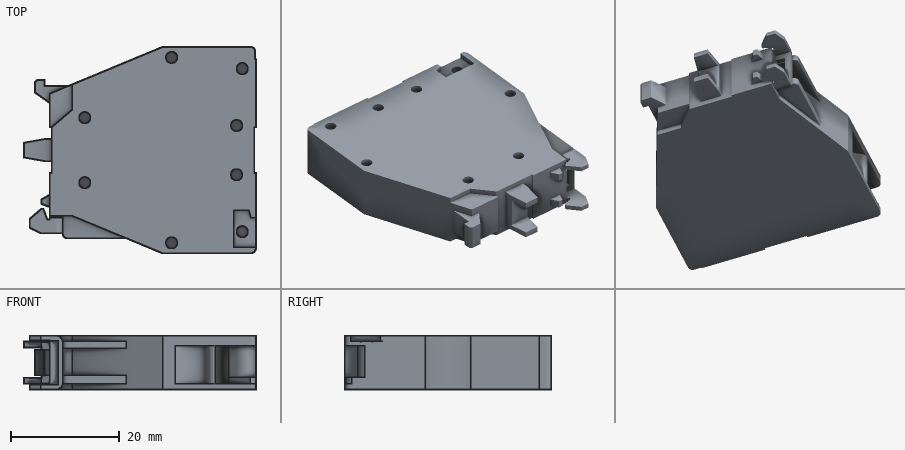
import cadquery as cq

thick = 9.9
skin = 1.05
back_x = 42.7
front_x = 4.75
half_width = 19.0
shoulder_x = 25.55
front_half_width = 12.1
flank_foot_x = 8.9
flank_slope = (half_width - front_half_width) / (shoulder_x - flank_foot_x)
front_left_y = front_half_width - flank_slope * (flank_foot_x - front_x)
right_corner_radius = 1.05
left_corner_radius = 0.9
left_inset = 0.15
left_inset_y = 16.75
relief_depth = 0.35
relief_half_width = 4.2
mid_z = thick / 2

hole_diameter = 2.1
hole_depth = 3.0
hole_places = [(27.15, 17.05), (40.15, 15.0), (11.2, 5.98), (39.1, 4.53)]

tongue_tip_half = 1.35
tongue_root_half = 2.05
tongue_outer_z = 8.85
tongue_inner_z = 7.7
tongue_edge_z = 7.85
web_front_x = 3.55
web_bevel_x = 3.85
web_bevel = 0.2

hook_bottom_z = 2.6
hook_top_z = 7.3

tooth_bottom_z, tooth_top_z = 1.2, 2.6
lower_rib_z = (skin, 2.6)
upper_rib_z = (7.55, 8.85)
rib_front_x = 7.15
rib_side_y = -16.23
rib_radius = 0.9

clip_skin = 0.9
clip_inner_y = -12.4
clip_outer_y = -15.3
clip_back_wall = 0.8
clip_bend_radius = 1.2
clip_window_y = -14.15
clip_window_z = (2.18, 7.8)

cavity_z = (skin, 8.03)
cavity_side_y = -half_width
tab_top_z = 2.3
boss_center = (40.65, -14.25)
boss_radius = 2.3

pocket_depth = 1.05


def prism(points, bottom, top):
    """Closed polygon in XY raised from bottom to top."""
    return cq.Workplane("XY").workplane(offset=bottom).polyline(points).close().extrude(top - bottom)


def box(x0, x1, y0, y1, z0, z1):
    """Block given by its limits along each axis."""
    return cq.Workplane("XY").box(x1 - x0, y1 - y0, z1 - z0, centered=False).translate((x0, y0, z0))


def with_mirror(solid):
    """Add the copy reflected about the mid-height plane."""
    return solid.union(solid.mirror("XY", (0, 0, mid_z)))


def housing():
    left_corner_x = back_x - left_inset
    body = prism(
        [
            (front_x, -front_half_width),
            (flank_foot_x, -front_half_width),
            (shoulder_x, -half_width),
            (back_x, -half_width),
            (back_x, left_inset_y),
            (left_corner_x, left_inset_y),
            (left_corner_x, half_width),
            (shoulder_x, half_width),
            (front_x, front_left_y),
        ],
        0,
        thick,
    )
    rear_corners = [
        (back_x, -half_width, right_corner_radius),
        (left_corner_x, half_width, left_corner_radius),
    ]
    for x, y, radius in rear_corners:
        picker = cq.selectors.NearestToPointSelector((x, y, mid_z))
        body = body.edges(picker).fillet(radius)
    for x in (front_x, back_x):
        relief = box(x - relief_depth, x + relief_depth, -relief_half_width, relief_half_width, 0, thick)
        body = body.cut(relief)
    return body


def corner_step():
    """Material removed from both skins at the front left corner."""
    step_x = flank_foot_x
    bend_y = 7.45
    return with_mirror(
        prism(
            [
                (front_x, relief_half_width),
                (front_x + relief_depth, relief_half_width),
                (step_x, bend_y),
                (step_x, half_width),
                (front_x, half_width),
            ],
            thick - skin,
            thick,
        )
    )


def rivet_holes():
    """Blind holes sunk from the top face."""
    places = [(x, side * y) for x, y in hole_places for side in (1, -1)]
    top = cq.Workplane("XY").workplane(offset=thick - hole_depth)
    return top.pushPoints(places).circle(hole_diameter / 2).extrude(hole_depth)


def tongues():
    """Two tapered tongues with dished inner faces, joined by a bevelled web."""
    root_x = front_x + relief_depth
    plan = [
        (0, tongue_tip_half),
        (web_bevel_x, tongue_root_half),
        (root_x, tongue_root_half),
        (root_x, -tongue_root_half),
        (web_bevel_x, -tongue_root_half),
        (0, -tongue_tip_half),
    ]
    bar = (
        cq.Workplane("YZ")
        .moveTo(-tongue_root_half, tongue_outer_z)
        .lineTo(-tongue_root_half, tongue_edge_z)
        .threePointArc((0, tongue_inner_z), (tongue_root_half, tongue_edge_z))
        .lineTo(tongue_root_half, tongue_outer_z)
        .close()
        .extrude(root_x)
    )
    pair = with_mirror(prism(plan, 0, thick).intersect(bar))
    web_front_half = tongue_root_half - web_bevel
    web = prism(
        [
            (root_x, tongue_root_half),
            (web_bevel_x, tongue_root_half),
            (web_front_x, web_front_half),
            (web_front_x, -web_front_half),
            (web_bevel_x, -tongue_root_half),
            (root_x, -tongue_root_half),
        ],
        thick - tongue_edge_z,
        tongue_edge_z,
    )
    return pair.union(web)


def fixed_hook():
    """Barbed block facing +Y whose shank is buried in the housing."""
    tip_x = 2.0
    barb_x = 3.8
    barb_y = 12.9
    tip_bevel = 0.43
    shank_y = 11.83
    root_y = 8.65
    shank_end_x = 8.45
    return prism(
        [
            (front_x, root_y),
            (tip_x, 10.6),
            (tip_x, barb_y - tip_bevel),
            (tip_x + tip_bevel, barb_y),
            (barb_x, barb_y),
            (barb_x, shank_y),
            (shank_end_x, shank_y),
            (shank_end_x, root_y),
        ],
        hook_bottom_z,
        hook_top_z,
    )


def teeth():
    """Two small wedge teeth on the front face, one above the other."""
    tip_x = 3.2
    outline = [(front_x, -8.2), (tip_x, -9.1), (tip_x, -9.9), (front_x, -10.45)]
    return with_mirror(prism(outline, tooth_bottom_z, tooth_top_z))


def guide_rib(bottom, top):
    """Triangular rib filling the angle between the clip and the right flank."""
    rib_end_x = flank_foot_x + (-rib_side_y - front_half_width) / flank_slope
    rib = prism(
        [
            (rib_front_x, -front_half_width),
            (rib_front_x, rib_side_y),
            (rib_end_x, rib_side_y),
            (flank_foot_x, -front_half_width),
        ],
        bottom,
        top,
    )
    picker = cq.selectors.NearestToPointSelector((rib_front_x, rib_side_y, (bottom + top) / 2))
    return rib.edges(picker).fillet(rib_radius)


def spring_clip():
    """U-shaped clip: two hooked arms joined by a windowed back wall."""
    nose_x = 1.05
    barb_y = -10.75
    throat_y = -12.72
    outline = [
        (nose_x, -12.65),
        (3.25, barb_y),
        (3.6, barb_y),
        (4.3, throat_y),
        (front_x, throat_y),
        (front_x, clip_inner_y),
        (rib_front_x, clip_inner_y),
        (rib_front_x, clip_outer_y),
        (3.07, clip_outer_y),
        (nose_x, -14.3),
    ]
    clip = prism(outline, 0, thick)
    clip = clip.edges("|Y and >X").fillet(clip_bend_radius)
    wall_x = rib_front_x - clip_back_wall
    clip = clip.cut(box(0, wall_x, -half_width, 0, clip_skin, thick - clip_skin))
    return clip.cut(box(wall_x, rib_front_x, clip_window_y, 0, *clip_window_z))


def screw_cavity():
    """Ramp running into a rounded seat whose far side rolls out to the side face."""
    return (
        cq.Workplane("XY")
        .workplane(offset=cavity_z[0])
        .moveTo(27.8, cavity_side_y)
        .lineTo(31.9, -16.95)
        .tangentArcPoint((33.2, -17.3), relative=False)
        .lineTo(34.0, -18.45)
        .tangentArcPoint((34.8, cavity_side_y), relative=False)
        .close()
        .extrude(cavity_z[1] - cavity_z[0])
    )


def wire_cavity():
    """Open rear corner around the boss, with the low tab left standing on its floor."""
    left_x = 35.23
    ridge = (37.65, -14.77)
    boss_start = (39.3, -16.1)
    boss_end = (back_x, -15.35)
    outside_x = back_x + 0.43
    cavity = (
        cq.Workplane("XY")
        .workplane(offset=cavity_z[0])
        .moveTo(outside_x, cavity_side_y)
        .lineTo(outside_x, boss_end[1])
        .lineTo(*boss_end)
        .threePointArc((boss_center[0], boss_center[1] - boss_radius), boss_start)
        .lineTo(*ridge)
        .lineTo(36.55, -12.43)
        .tangentArcPoint((left_x, -11.57), relative=False)
        .lineTo(left_x, cavity_side_y)
        .close()
        .extrude(cavity_z[1] - cavity_z[0])
    )
    tab = (
        cq.Workplane("XY")
        .workplane(offset=cavity_z[0])
        .moveTo(*ridge)
        .lineTo(41.65, -18.8)
        .threePointArc((42.3, -18.35), (back_x, -17.7))
        .lineTo(back_x, ridge[1])
        .close()
        .extrude(tab_top_z - cavity_z[0])
    )
    return cavity.cut(tab)


def label_pocket():
    """Shallow pocket open at the back, with a rounded tooth reaching into it."""
    side_y = -17.85
    inner_x = 38.55
    inner_y = -11.0
    tooth_y = -12.45
    tooth_radius = 0.35
    return (
        cq.Workplane("XY")
        .workplane(offset=thick - pocket_depth)
        .moveTo(back_x, side_y)
        .lineTo(inner_x, side_y)
        .lineTo(inner_x, inner_y)
        .lineTo(41.35, inner_y)
        .lineTo(41.75, tooth_y)
        .lineTo(42.35, tooth_y)
        .tangentArcPoint((back_x, tooth_y + tooth_radius), relative=False)
        .close()
        .extrude(pocket_depth)
    )


result = housing().cut(corner_step()).union(fixed_hook()).union(tongues()).union(teeth())
for rib_z in (lower_rib_z, upper_rib_z):
    result = result.union(guide_rib(*rib_z))
result = result.union(spring_clip())
for cutter in (screw_cavity(), wire_cavity(), label_pocket(), rivet_holes()):
    result = result.cut(cutter)